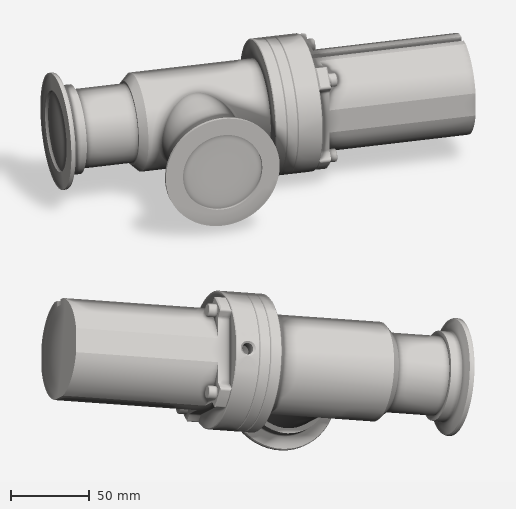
import cadquery as cq
import math

port_reach = 86.3
overall_length = 267.6

tube_radius = 25.4
port_rim_radius = 37.5
port_rim_width = 2.0
port_rim_bevel = 0.5
port_rim_bevel_width = 1.0
port_collar_radius = 28.7
port_collar_end = 12.6
port_collar_fillet = 0.8
clamp_angle = 15.0
recess_radius = 26.1
recess_depth = 2.0

body_radius = 31.75
body_start = 52.3
body_cone_length = 5.0
body_cone_radius = 27.0
branch_fillet = 2.0

flange_radius = 44.2
flange_start = 46.5
ring_widths = (7.5, 7.3, 16.1)
ring_chamfer = 0.5

vent_radius = 3.7
vent_mouth_radius = 5.1
vent_mouth_depth = 1.3
vent_depth = 10.0
vent_point_angle = 118.0

plate_thickness = 7.8
plate_chamfer = 0.8
ear_width = 15.0
ear_outer_fillet = 1.7
ear_root_fillet = 2.4

screw_circle_radius = 37.5
screw_head_radius = 4.25
screw_head_height = 5.5
screw_head_chamfer = 0.5

flat_distance = 31.6
flat_width = 15.6
slot_width = 5.6
slot_depth = 3.7

housing_radius = math.hypot(flat_distance, flat_width / 2)
front_face = -port_reach
rear_end = front_face + overall_length
flange_end = flange_start + sum(ring_widths)
plate_end = flange_end + plate_thickness
vent_y = flange_end - ring_widths[-1] / 2


def cylinder_y(radius, start, end):
    """Cylinder on the Y axis between two Y positions."""
    return cq.Workplane("XZ", origin=(0, start, 0)).circle(radius).extrude(start - end)


def make_port():
    """Clamp port on the Y axis: face at -port_reach, tube running to the tee centre."""
    cone_start = port_rim_width + port_rim_bevel_width
    cone_radius = port_rim_radius - port_rim_bevel
    cone_length = (cone_radius - port_collar_radius) * math.tan(math.radians(clamp_angle))
    profile = [
        (0, front_face),
        (port_rim_radius, front_face),
        (port_rim_radius, front_face + port_rim_width),
        (cone_radius, front_face + cone_start),
        (port_collar_radius, front_face + cone_start + cone_length),
        (port_collar_radius, front_face + port_collar_end),
        (tube_radius, front_face + port_collar_end),
        (tube_radius, 0),
        (0, 0),
    ]
    port = cq.Workplane("XY").polyline(profile).close().revolve(360, (0, 0, 0), (0, 1, 0))
    cone_foot = front_face + cone_start + cone_length
    foot_edge = cq.selectors.NearestToPointSelector((0, cone_foot, 0))
    return port.edges(foot_edge).fillet(port_collar_fillet)


def make_body():
    """Cylindrical valve body with a conical front end."""
    cone_start = front_face + body_start - body_cone_length
    profile = [
        (0, cone_start),
        (body_cone_radius, cone_start),
        (body_radius, front_face + body_start),
        (body_radius, flange_end),
        (0, flange_end),
    ]
    return cq.Workplane("XY").polyline(profile).close().revolve(360, (0, 0, 0), (0, 1, 0))


def make_tee():
    """Valve body joined to the side branch, with a small fillet where they meet."""
    side_port = make_port().rotate((0, 0, 0), (0, 0, 1), 90)
    tee = make_body().union(side_port)
    reach = body_radius + branch_fillet
    joint = cq.selectors.BoxSelector(
        (0, -reach, -reach), (reach, reach, reach), boundingbox=True
    )
    seam = cq.selectors.TypeSelector("LINE")
    round_edges = cq.selectors.SubtractSelector(joint, seam)
    tee = tee.edges(round_edges).fillet(branch_fillet)
    return tee.union(make_port())


def make_flange():
    """Three stacked rings with bevelled rims."""
    flange = None
    start = flange_start
    for width in ring_widths:
        ring = cylinder_y(flange_radius, start, start + width).edges("%CIRCLE").chamfer(ring_chamfer)
        flange = ring if flange is None else flange.union(ring)
        start += width
    return flange


def cut_vent(part):
    """Countersunk blind hole with a drill point, entering the flange radially from -X."""
    point_length = vent_radius / math.tan(math.radians(vent_point_angle / 2))
    profile = [
        (-flange_radius, 0),
        (-flange_radius, vent_mouth_radius),
        (-flange_radius + vent_mouth_depth, vent_radius),
        (-flange_radius + vent_depth, vent_radius),
        (-flange_radius + vent_depth + point_length, 0),
    ]
    vent = cq.Workplane("XY").polyline(profile).close().revolve(360, (0, 0, 0), (1, 0, 0))
    return part.cut(vent.translate((0, vent_y, 0)))


def make_plate():
    """Square plate with a bolt ear on each diagonal, trimmed to the flange diameter."""
    middle_y = flange_end + plate_thickness / 2
    plate = cq.Workplane("XY").box(2 * flat_distance, plate_thickness, 2 * flat_distance)
    for angle in (45, 135):
        bar = cq.Workplane("XY").box(3 * flange_radius, plate_thickness, ear_width)
        plate = plate.union(bar.rotate((0, 0, 0), (0, 1, 0), angle))
    plate = plate.translate((0, middle_y, 0))

    disc = cylinder_y(flange_radius, flange_end, plate_end)
    plate = plate.intersect(disc)

    reach = flat_distance + ear_root_fillet / 2
    within_flats = cq.selectors.BoxSelector((-reach, flange_end, -reach), (reach, plate_end, reach))
    plate = plate.edges("|Y").edges(-within_flats).fillet(ear_outer_fillet)
    plate = plate.edges("|Y").edges(within_flats).fillet(ear_root_fillet)
    return plate.intersect(disc.edges("%CIRCLE").chamfer(plate_chamfer))


def make_screw_heads():
    """Four cap screw heads standing on the ears."""
    head = cylinder_y(screw_head_radius, plate_end, plate_end + screw_head_height)
    head = head.faces(">Y").chamfer(screw_head_chamfer)
    offset = screw_circle_radius / math.sqrt(2)
    heads = None
    for x in (-offset, offset):
        for z in (-offset, offset):
            placed = head.translate((x, 0, z))
            heads = placed if heads is None else heads.union(placed)
    return heads


def make_housing():
    """Actuator housing: a cylinder with four narrow flats along its length."""
    length = rear_end - flange_end
    housing = cylinder_y(housing_radius, flange_end, rear_end)
    flats = cq.Workplane("XY").box(2 * flat_distance, length, 2 * flat_distance)
    return housing.intersect(flats.translate((0, (flange_end + rear_end) / 2, 0)))


def make_slot():
    """Lengthwise slot in the upper flat, open at the rear end."""
    slot = cq.Workplane("XY").box(
        slot_width, rear_end - flange_end, slot_depth, centered=(True, False, False)
    )
    return slot.translate((0, flange_end, flat_distance - slot_depth))


def cut_port_recesses(part):
    """Shallow round recess in both port faces."""
    front = cylinder_y(recess_radius, front_face, front_face + recess_depth)
    side = front.rotate((0, 0, 0), (0, 0, 1), 90)
    return part.cut(front).cut(side)


result = make_tee().union(make_flange())
result = cut_vent(result)
result = result.union(make_plate()).union(make_housing()).union(make_screw_heads())
result = result.cut(make_slot())
result = cut_port_recesses(result)